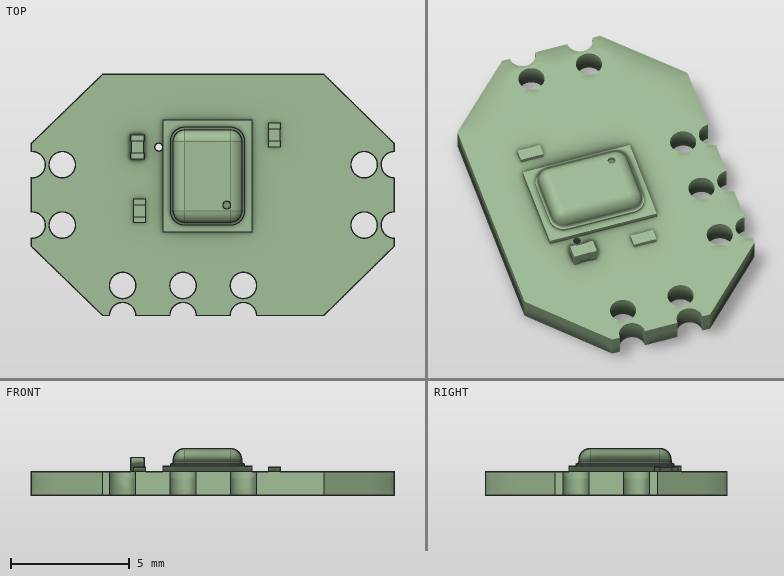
import cadquery as cq

left_edge = -7.66
right_edge = 7.62
half_width = 5.08
board_thickness = 1.0
cut_end_x = 4.65
cut_end_y = 2.16

pad_pitch = 2.54
pad_diameter = 1.1
side_notch_x = 3 * pad_pitch
side_hole_x = 2.5 * pad_pitch
bottom_hole_y = -1.5 * pad_pitch
side_pad_ys = (-pad_pitch / 2, pad_pitch / 2)
bottom_pad_xs = (-1.5 * pad_pitch, -pad_pitch / 2, pad_pitch / 2)

mic_x = -0.24
mic_y = 0.79
base_length = 3.76
base_width = 4.72
base_height = 0.23
lid_length = 2.89
lid_width = 3.89
lid_height = 0.75
lid_radius = 0.485
top_fillet = lid_radius - 0.001
flange_reach = 0.115
flange_thickness = 0.1
flange_fillet = 0.1

port_diameter = 0.33
port_depth = 0.15
port_x = 0.57
port_y = -0.43
vent_x = -2.29
vent_y = 2.01

chip_length = 1.0
terminal_length = 0.25
chips = (
    (-3.185, 2.01, 0.57, 0.6, 0.03),
    (-3.1, -0.67, 0.51, 0.19, 0.01),
    (2.57, 2.52, 0.51, 0.19, 0.01),
)


def block(length, width, height, x, y, z):
    """Box centred on (x, y) that rises from z."""
    return cq.Workplane("XY").box(length, width, height, centered=(True, True, False)).translate((x, y, z))


def make_board():
    outline = (
        (-cut_end_x, -half_width),
        (cut_end_x, -half_width),
        (right_edge, -cut_end_y),
        (right_edge, cut_end_y),
        (cut_end_x, half_width),
        (-cut_end_x, half_width),
        (left_edge, cut_end_y),
        (left_edge, -cut_end_y),
    )
    board = cq.Workplane("XY").polyline(outline).close().extrude(board_thickness)

    pad_centres = []
    for y in side_pad_ys:
        for x in (side_hole_x, side_notch_x):
            pad_centres.append((-x, y))
            pad_centres.append((x, y))
    for x in bottom_pad_xs:
        pad_centres.append((x, bottom_hole_y))
        pad_centres.append((x, -half_width))
    pads = cq.Workplane("XY").pushPoints(pad_centres).circle(pad_diameter / 2).extrude(board_thickness)
    vent = cq.Workplane("XY").center(vent_x, vent_y).circle(port_diameter / 2).extrude(board_thickness)
    return board.cut(pads).cut(vent)


def make_microphone():
    base = block(base_length, base_width, base_height, mic_x, mic_y, board_thickness)
    lid_bottom = board_thickness + base_height
    lid = (
        block(lid_length, lid_width, lid_height, mic_x, mic_y, lid_bottom)
        .edges("|Z")
        .fillet(lid_radius)
        .faces(">Z")
        .edges()
        .fillet(top_fillet)
    )
    flange_length = lid_length + 2 * flange_reach
    flange_width = lid_width + 2 * flange_reach
    flange = (
        block(flange_length, flange_width, flange_thickness, mic_x, mic_y, lid_bottom)
        .edges("|Z")
        .fillet(lid_radius + flange_reach)
    )
    flange_top = lid_bottom + flange_thickness
    lid = lid.union(flange)
    margin = 0.01
    blend_selector = cq.selectors.BoxSelector(
        (mic_x - lid_length / 2 - margin, mic_y - lid_width / 2 - margin, flange_top - margin),
        (mic_x + lid_length / 2 + margin, mic_y + lid_width / 2 + margin, flange_top + margin),
        boundingbox=True,
    )
    lid = lid.edges(blend_selector).fillet(flange_fillet)
    port = (
        cq.Workplane("XY", origin=(port_x, port_y, lid_bottom + lid_height))
        .circle(port_diameter / 2)
        .extrude(-port_depth)
    )
    return base.union(lid.cut(port))


def make_chip(x, y, width, height, edge_radius):
    body_width = width - 2 * edge_radius
    body_height = height - edge_radius
    chip = block(body_width, chip_length - terminal_length, body_height, x, y, board_thickness)
    terminal_offset = (chip_length - terminal_length) / 2
    for side in (-1, 1):
        terminal_y = y + side * terminal_offset
        terminal = block(width, terminal_length, height, x, terminal_y, board_thickness)
        chip = chip.union(terminal.edges(">Z and |Y").fillet(edge_radius))
    return chip


result = make_board().union(make_microphone())
for chip_values in chips:
    result = result.union(make_chip(*chip_values))